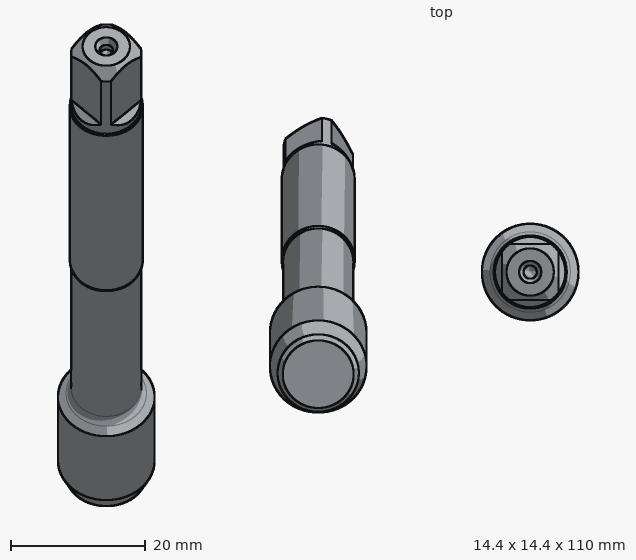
import cadquery as cq
import math

TOTAL_LENGTH = 110.0
LEAD_HEIGHT = 3.7
HEAD_TOP = 20.1
GRIP_BOTTOM = 54.6
GRIP_TOP = 94.9
SQUARE_BOTTOM = 97.2

HEAD_DIAMETER = 14.4
NECK_DIAMETER = 10.5
GRIP_DIAMETER = 10.9
COLLAR_DIAMETER = 10.5
TIP_DIAMETER = 10.6
LEAD_END_DIAMETER = 12.1

TIP_CHAMFER_HEIGHT = 0.5
GRIP_CHAMFER_HEIGHT = 0.5

SHOULDER_SLOPE = math.radians(35)
SHOULDER_FILLET_RADIUS = 1.8

SQUARE_WIDTH = 8.4
END_FACE_DIAMETER = 7.0
END_CHAMFER_HEIGHT = 1.6
CENTRE_HOLE_DIAMETER = 2.0
CENTRE_SINK_DIAMETER = 3.3
CENTRE_SINK_DEPTH = 1.0
CENTRE_HOLE_DEPTH = 2.2
DRILL_TIP_ANGLE = math.radians(120)


def revolve_profile(profile):
    """Turn a closed (radius, height) outline about the Z axis."""
    return profile.close().revolve(360, (0, 0, 0), (0, 1, 0))


def make_head():
    """Working head with a tapered lead and a bevelled tip."""
    profile = (
        cq.Workplane("XZ")
        .lineTo(TIP_DIAMETER / 2, 0)
        .lineTo(LEAD_END_DIAMETER / 2, TIP_CHAMFER_HEIGHT)
        .lineTo(HEAD_DIAMETER / 2, LEAD_HEIGHT)
        .lineTo(HEAD_DIAMETER / 2, HEAD_TOP)
        .lineTo(0, HEAD_TOP)
    )
    return revolve_profile(profile)


def make_turned_shank():
    """Round shank standing on the head, before the square is cut."""
    neck_radius = NECK_DIAMETER / 2
    grip_radius = GRIP_DIAMETER / 2
    collar_radius = COLLAR_DIAMETER / 2
    fillet_radius = SHOULDER_FILLET_RADIUS
    middle_angle = SHOULDER_SLOPE / 2 + math.pi / 4
    cone_radius = neck_radius + fillet_radius * (1 - math.sin(SHOULDER_SLOPE))
    cone_top = HEAD_TOP + (HEAD_DIAMETER / 2 - cone_radius) * math.tan(SHOULDER_SLOPE)
    neck_bottom = cone_top + fillet_radius * math.cos(SHOULDER_SLOPE)
    fillet_middle = (
        neck_radius + fillet_radius * (1 - math.sin(middle_angle)),
        neck_bottom - fillet_radius * math.cos(middle_angle),
    )
    grip_chamfer = grip_radius - collar_radius
    profile = (
        cq.Workplane("XZ")
        .moveTo(0, HEAD_TOP)
        .lineTo(HEAD_DIAMETER / 2, HEAD_TOP)
        .lineTo(cone_radius, cone_top)
        .threePointArc(fillet_middle, (neck_radius, neck_bottom))
        .lineTo(neck_radius, GRIP_BOTTOM)
        .lineTo(grip_radius, GRIP_BOTTOM + GRIP_CHAMFER_HEIGHT)
        .lineTo(grip_radius, GRIP_TOP - grip_chamfer)
        .lineTo(collar_radius, GRIP_TOP)
        .lineTo(collar_radius, TOTAL_LENGTH - END_CHAMFER_HEIGHT)
        .lineTo(END_FACE_DIAMETER / 2, TOTAL_LENGTH)
        .lineTo(0, TOTAL_LENGTH)
    )
    return revolve_profile(profile)


def make_flat_cutter():
    """Cutter for one flat of the square, with a 45 degree run-out at its foot."""
    flat_offset = SQUARE_WIDTH / 2
    reach = GRIP_DIAMETER / 2
    run_out = reach - flat_offset
    return (
        cq.Workplane("XZ")
        .moveTo(flat_offset, SQUARE_BOTTOM)
        .lineTo(reach, SQUARE_BOTTOM - run_out)
        .lineTo(reach, TOTAL_LENGTH)
        .lineTo(flat_offset, TOTAL_LENGTH)
        .close()
        .extrude(reach, both=True)
    )


def make_centre_hole():
    """Countersunk centre hole with a conical floor in the driving end."""
    sink_bottom = TOTAL_LENGTH - CENTRE_SINK_DEPTH
    drill_tip_depth = CENTRE_HOLE_DIAMETER / 2 / math.tan(DRILL_TIP_ANGLE / 2)
    hole_bottom = TOTAL_LENGTH - CENTRE_HOLE_DEPTH
    profile = (
        cq.Workplane("XZ")
        .moveTo(0, hole_bottom - drill_tip_depth)
        .lineTo(CENTRE_HOLE_DIAMETER / 2, hole_bottom)
        .lineTo(CENTRE_HOLE_DIAMETER / 2, sink_bottom)
        .lineTo(CENTRE_SINK_DIAMETER / 2, TOTAL_LENGTH)
        .lineTo(0, TOTAL_LENGTH)
    )
    return revolve_profile(profile)


def make_shank():
    """Shank with its driving square and centre hole."""
    shank = make_turned_shank()
    for angle in (0, 90, 180, 270):
        flat_cutter = make_flat_cutter().rotate((0, 0, 0), (0, 0, 1), angle)
        shank = shank.cut(flat_cutter)
    return shank.cut(make_centre_hole())


head = make_head()
shank = make_shank()
result = cq.Compound.makeCompound([head.val(), shank.val()])